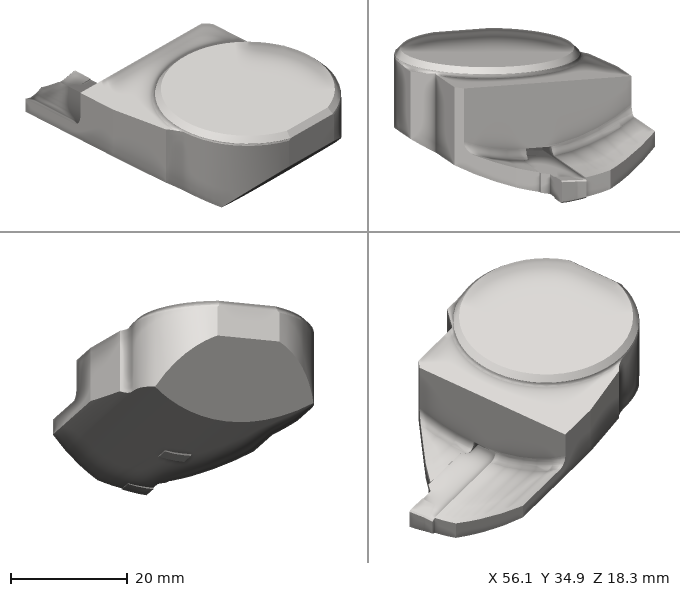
import cadquery as cq
import math


DISC_RADIUS = 15.9
DISC_HEIGHT = 1.6
DISC_CHAMFER = 1.0
COVE_RADIUS = 0.55
REAR_FLAT_X = 15.0

BODY_RADIUS = 16.0
FRONT_SIDE_Y = -18.85
BACK_SIDE_Y = 12.6
TIP_X = -41.1
NOSE_X = -40.25
NOSE_CORNER_Y = -8.9
NOSE_CHAMFER_ANGLE = 30.0
TAPER_START = (-14.0, FRONT_SIDE_Y)
TAPER_END = (-3.0, -17.2)
BLEND_MIDDLE = (-2.0, -16.53)
SHOULDER_X = -6.6
BACK_CORNER_X = -20.2
BACK_BEND = (-29.75, 4.53)

ARC_CENTRE_Y = 0.15
BOTTOM_Z = -16.47
BOTTOM_ARC_RADIUS = 29.5
SHELF_Z = -13.0
SHELF_ARC_RADIUS = 32.5
FLOOR_OVERHANG = 2.0
FLOOR_HALF_WIDTH = ARC_CENTRE_Y - FRONT_SIDE_Y + FLOOR_OVERHANG
WALL_X = -21.65
SHELF_FILLET = 1.55
REAR_SLOPE_BOTTOM_X = 3.5

INSERT_LENGTH = 24.7
INSERT_MIDDLE_X = TIP_X + INSERT_LENGTH / 2
INSERT_TOP_Z = SHELF_Z
INSERT_SIDE_Y = -4.43
TIP_CORNER_Y = ARC_CENTRE_Y
SEAT_SIDE_Y = 1.41
END_BEND = (-40.72, -2.8)
SHANK_START_X = -34.7
SEAT_START_X = -33.5
TIP_LENGTH = 4.0
TIP_DROP = 0.25
TIP_ARC_RADIUS = 21.0
TIP_FLOOR_HALF_WIDTH = 6.0
FACET_INNER = (-37.2, -2.4)
FACET_OUTER = (END_BEND[0], -3.8)
FACET_RISE = 0.25
END_CHAMFER = 0.26
POCKET_TOP_Z = -11.35

CLEARANCE = 30.0
BLANK_BOTTOM_Z = BOTTOM_Z - 2.0


def arc_prism(lowest_z, radius, start_x, end_x, half_width=FLOOR_HALF_WIDTH):
    """Solid above a cylindrical floor that runs along X."""
    side = ARC_CENTRE_Y - half_width
    far_side = ARC_CENTRE_Y + half_width
    edge_z = lowest_z + radius - math.sqrt(radius**2 - half_width**2)
    return (
        cq.Workplane("YZ", origin=(start_x, 0, 0))
        .moveTo(side, edge_z)
        .threePointArc((ARC_CENTRE_Y, lowest_z), (far_side, edge_z))
        .lineTo(far_side, CLEARANCE)
        .lineTo(side, CLEARANCE)
        .close()
        .extrude(end_x - start_x)
    )


def body_outline():
    """Plan outline of the holder, closed by the round rear end and its flat."""
    flat_half_width = math.sqrt(BODY_RADIUS**2 - REAR_FLAT_X**2)
    diagonal = BODY_RADIUS / math.sqrt(2)
    nose_slope = math.tan(math.radians(NOSE_CHAMFER_ANGLE))
    nose_chamfer_x = NOSE_X + (NOSE_CORNER_Y - FRONT_SIDE_Y) * nose_slope
    shoulder_foot_x = SHOULDER_X - (BODY_RADIUS - BACK_SIDE_Y)
    bevel_end_x = BACK_BEND[0] - (BACK_BEND[1] - SEAT_SIDE_Y)
    return (
        cq.Workplane("XY")
        .moveTo(NOSE_X, INSERT_SIDE_Y)
        .lineTo(NOSE_X, NOSE_CORNER_Y)
        .lineTo(nose_chamfer_x, FRONT_SIDE_Y)
        .lineTo(*TAPER_START)
        .lineTo(*TAPER_END)
        .threePointArc(BLEND_MIDDLE, (0, -BODY_RADIUS))
        .threePointArc((diagonal, -diagonal), (REAR_FLAT_X, -flat_half_width))
        .lineTo(REAR_FLAT_X, flat_half_width)
        .threePointArc((diagonal, diagonal), (0, BODY_RADIUS))
        .lineTo(SHOULDER_X, BODY_RADIUS)
        .lineTo(shoulder_foot_x, BACK_SIDE_Y)
        .lineTo(BACK_CORNER_X, BACK_SIDE_Y)
        .lineTo(*BACK_BEND)
        .lineTo(bevel_end_x, SEAT_SIDE_Y)
        .lineTo(bevel_end_x, INSERT_SIDE_Y)
        .close()
    )


def outline_prism(bottom_z, top_z):
    """Body outline extruded between two heights."""
    return body_outline().extrude(top_z - bottom_z).translate((0, 0, bottom_z))


def clamping_disc():
    """Chamfered disc with a bevelled rear flat, running out into the block with a cove."""
    rim_z = DISC_HEIGHT - DISC_CHAMFER
    bulge = COVE_RADIUS * (1 - 1 / math.sqrt(2))
    disc = (
        cq.Workplane("XZ")
        .moveTo(0, 0)
        .lineTo(DISC_RADIUS + COVE_RADIUS, 0)
        .threePointArc((DISC_RADIUS + bulge, bulge), (DISC_RADIUS, COVE_RADIUS))
        .lineTo(DISC_RADIUS, rim_z)
        .lineTo(DISC_RADIUS - DISC_CHAMFER, DISC_HEIGHT)
        .lineTo(0, DISC_HEIGHT)
        .close()
        .revolve(360, (0, 0, 0), (0, 1, 0))
    )
    rear_bevel = (
        cq.Workplane("XZ")
        .moveTo(REAR_FLAT_X, rim_z)
        .lineTo(REAR_FLAT_X - DISC_CHAMFER, DISC_HEIGHT)
        .lineTo(REAR_FLAT_X, DISC_HEIGHT)
        .close()
        .extrude(CLEARANCE, both=True)
    )
    return disc.intersect(outline_prism(0, DISC_HEIGHT)).cut(rear_bevel)


def shelf_cut():
    """Space in front of the wall, with a rounded corner where shelf meets wall."""
    space = arc_prism(SHELF_Z, SHELF_ARC_RADIUS, TIP_X - CLEARANCE, WALL_X)
    wall_arc = space.faces(">X").edges("%CIRCLE")
    return wall_arc.fillet(SHELF_FILLET)


def rear_slope_cut():
    """45 degree relief under the round rear end."""
    return (
        cq.Workplane("XZ")
        .moveTo(REAR_SLOPE_BOTTOM_X, BOTTOM_Z)
        .lineTo(REAR_SLOPE_BOTTOM_X + CLEARANCE, BOTTOM_Z + CLEARANCE)
        .lineTo(REAR_SLOPE_BOTTOM_X + CLEARANCE, BOTTOM_Z - CLEARANCE)
        .lineTo(REAR_SLOPE_BOTTOM_X - CLEARANCE, BOTTOM_Z - CLEARANCE)
        .close()
        .extrude(CLEARANCE, both=True)
    )


def half_insert_prism(bottom_z, top_z):
    """Left half of the insert in plan: a narrow tip widening to the middle."""
    left_side = [
        (INSERT_MIDDLE_X, SEAT_SIDE_Y),
        (SEAT_START_X, SEAT_SIDE_Y),
        (SHANK_START_X, TIP_CORNER_Y),
        (TIP_X, TIP_CORNER_Y),
        END_BEND,
        (END_BEND[0], INSERT_SIDE_Y),
        (INSERT_MIDDLE_X, INSERT_SIDE_Y),
    ]
    half = cq.Workplane("XY", origin=(0, 0, bottom_z)).polyline(left_side).close()
    return half.extrude(top_z - bottom_z)


def both_ends(shape):
    """Join a left half with its mirror image at the right end."""
    middle = (INSERT_MIDDLE_X, 0, 0)
    return shape.union(shape.mirror("YZ", middle)).clean()


def tip_facet():
    """Tilted top facet that rises towards the cutting corner of the left tip."""
    along = cq.Vector(FACET_OUTER[0] - FACET_INNER[0], FACET_OUTER[1] - FACET_INNER[1], 0).normalized()
    across = cq.Vector(along.y, -along.x, 0)
    corner = cq.Vector(TIP_X - FACET_INNER[0], TIP_CORNER_Y - FACET_INNER[1], 0)
    rise_length = corner.dot(across)
    plane = cq.Plane(
        origin=(FACET_INNER[0], FACET_INNER[1], INSERT_TOP_Z),
        xDir=across.toTuple(),
        normal=along.toTuple(),
    )
    to_world_z = plane.yDir.z
    wedge = (
        cq.Workplane(plane)
        .polyline([(0, 0), (rise_length, 0), (rise_length, to_world_z * FACET_RISE)])
        .close()
        .extrude(TIP_LENGTH * 2, both=True)
    )
    area = [
        FACET_INNER,
        FACET_OUTER,
        END_BEND,
        (TIP_X, TIP_CORNER_Y),
        (FACET_INNER[0], TIP_CORNER_Y),
    ]
    prism = cq.Workplane("XY", origin=(0, 0, INSERT_TOP_Z)).polyline(area).close().extrude(FACET_RISE)
    return wedge.intersect(prism)


def make_insert():
    """Insert with curved underside, lowered tips, top facets and bevelled ends."""
    lowest_z = BOTTOM_Z - TIP_DROP
    half = half_insert_prism(BLANK_BOTTOM_Z, INSERT_TOP_Z)
    middle_floor = arc_prism(BOTTOM_Z, BOTTOM_ARC_RADIUS, TIP_X, INSERT_MIDDLE_X)
    tip_floor = arc_prism(lowest_z, TIP_ARC_RADIUS, TIP_X, TIP_X + TIP_LENGTH, TIP_FLOOR_HALF_WIDTH)
    half = half.intersect(middle_floor.union(tip_floor)).union(tip_facet())
    end_zone = cq.selectors.BoxSelector(
        (TIP_X - END_CHAMFER, INSERT_SIDE_Y, BLANK_BOTTOM_Z),
        (END_BEND[0] + END_CHAMFER, TIP_CORNER_Y - END_CHAMFER, 0),
    )
    half = half.edges(end_zone).edges("not |Z").chamfer(END_CHAMFER)
    return both_ends(half)


def make_holder():
    """Block with shelf, rear slope, open-bottomed insert pocket and clamping disc."""
    body = outline_prism(BLANK_BOTTOM_Z, 0)
    body = body.intersect(arc_prism(BOTTOM_Z, BOTTOM_ARC_RADIUS, TIP_X, REAR_FLAT_X))
    body = body.cut(shelf_cut()).cut(rear_slope_cut())
    pocket = both_ends(half_insert_prism(BLANK_BOTTOM_Z, POCKET_TOP_Z))
    body = body.cut(pocket)
    return body.union(clamping_disc())


holder = make_holder()
insert = make_insert()

result = cq.Compound.makeCompound([*holder.solids().vals(), *insert.solids().vals()])